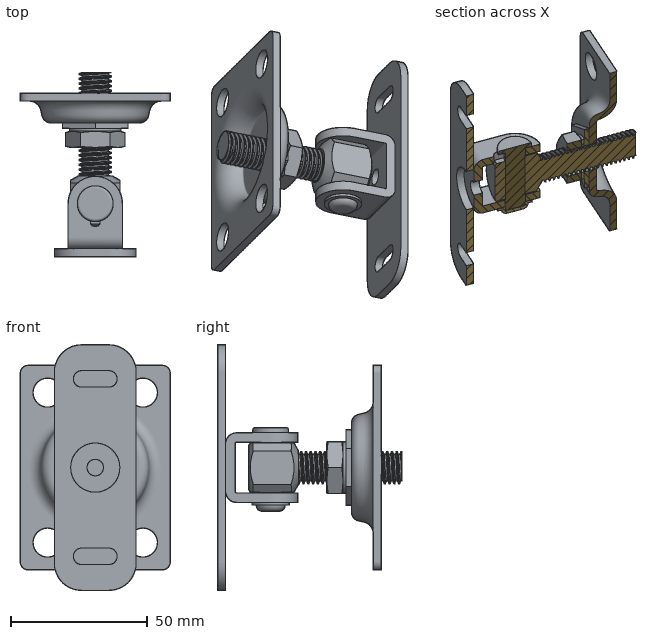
import cadquery as cq
import math


sheet = 3.0
front_plate_width = 30.0
front_plate_height = 90.0
front_plate_corner = 10.0
front_bore_diameter = 18.0
slot_length = 16.0
slot_width = 6.0
slot_offset = 32.5

back_plate_width = 55.0
back_plate_height = 75.0
back_plate_corner = 3.0
mount_hole_diameter = 10.5
mount_hole_x = 17.5
mount_hole_z = 27.45

stud_end_y = 67.5
thread_major_diameter = 12.0
thread_minor_diameter = 9.8
thread_start_y = 27.5
thread_finish_y = 71.3
thread_turns = 25
ridge_root_width = 1.3
ridge_crest_width = 0.4
ridge_embed = 0.2
clearance_diameter = 12.1

dome_base_radius = 24.2
dome_depth = 8.0
dome_root_fillet = 4.3
dome_crown_fillet = 3.5
dome_draft = math.radians(15)

hex_plate_across_flats = 24.0
hex_plate_thickness = 2.0
washer_diameter = 19.0
washer_thickness = 1.0
nut_across_flats = 19.0
nut_thickness = 6.0
nut_face_diameter = 18.2
nut_chamfer_drop = 0.5

fork_sheet = 3.5
fork_width = 20.0
fork_height = 25.6
fork_bend_inside = 0.45
fork_hole_diameter = 6.0
key_slot_width = 3.6
key_slot_bottom_y = 11.1

pin_y = 19.4
pin_diameter = 8.0
pin_head_diameter = 13.1
pin_head_height = 1.9
pin_head_fillet = 0.9
pin_overhang = 1.8
cap_flange_diameter = 13.7
cap_flange_thickness = 1.0
cap_dome_diameter = 10.6
cap_dome_height = 2.25

knuckle_side = 18.2
knuckle_flat = 12.2
knuckle_front_y = 11.3
knuckle_back_y = 29.6
knuckle_front_radius = 8.0
knuckle_back_radius = 6.3
cone_slope = math.tan(math.radians(30))

back_plate_rear_y = 59.9
back_plate_front_y = back_plate_rear_y - sheet
dome_face_y = back_plate_front_y - dome_depth
hex_plate_y = dome_face_y - hex_plate_thickness
washer_y = hex_plate_y - washer_thickness
nut_y = washer_y - nut_thickness
fork_top_z = fork_height / 2
fork_end_y = pin_y + fork_width / 2


def across_y(y):
    """Workplane facing +Y at the given y; its local x is Z and its local y is X."""
    return cq.Workplane("ZX", origin=(0, y, 0))


def above_z(z):
    """Workplane facing +Z at the given z, centred on the pin."""
    return cq.Workplane("XY", origin=(0, pin_y, z))


def rounded_plate(y, width, height, corner):
    return across_y(y).rect(height, width).extrude(sheet).edges("|Y").fillet(corner)


def hexagon(y, across_flats, thickness):
    """Bored hexagonal block with two corners on the Z axis."""
    across_corners = across_flats / math.cos(math.pi / 6)
    return across_y(y).polygon(6, across_corners).circle(clearance_diameter / 2).extrude(thickness)


def make_front_plate():
    plate = rounded_plate(0, front_plate_width, front_plate_height, front_plate_corner)
    bore = across_y(0).circle(front_bore_diameter / 2).extrude(sheet)
    slots = (
        across_y(0)
        .pushPoints([(-slot_offset, 0), (slot_offset, 0)])
        .slot2D(slot_length, slot_width, 90)
        .extrude(sheet)
    )
    return plate.cut(bore).cut(slots)


def dome_profile(face_y, base_y, root_radius, crown_radius):
    """Half section of a drafted dome, solid from the stud axis to its surface."""
    root_centre_y = back_plate_front_y - dome_root_fillet
    crown_centre_y = dome_face_y + dome_crown_fillet
    centre_gap_y = root_centre_y - crown_centre_y
    centre_gap_r = (
        (dome_root_fillet + dome_crown_fillet) - centre_gap_y * math.sin(dome_draft)
    ) / math.cos(dome_draft)
    crown_centre_r = dome_base_radius - centre_gap_r
    middle = (math.pi / 2 + dome_draft) / 2

    def root_point(angle):
        return (
            dome_base_radius - root_radius * math.cos(angle),
            root_centre_y + root_radius * math.sin(angle),
        )

    def crown_point(angle):
        return (
            crown_centre_r + crown_radius * math.cos(angle),
            crown_centre_y - crown_radius * math.sin(angle),
        )

    return (
        cq.Workplane("XY")
        .moveTo(0, base_y)
        .lineTo(dome_base_radius, base_y)
        .threePointArc(root_point(middle), root_point(dome_draft))
        .lineTo(*crown_point(dome_draft))
        .threePointArc(crown_point(middle), (crown_centre_r, face_y))
        .lineTo(0, face_y)
        .close()
    )


def revolve_about_stud(profile):
    return profile.revolve(360, (0, 0, 0), (0, 1, 0))


def make_back_plate():
    plate = rounded_plate(back_plate_front_y, back_plate_width, back_plate_height, back_plate_corner)
    outside = revolve_about_stud(
        dome_profile(dome_face_y, back_plate_front_y, dome_root_fillet, dome_crown_fillet)
    )
    inside = revolve_about_stud(
        dome_profile(
            dome_face_y + sheet, back_plate_rear_y, dome_root_fillet + sheet, dome_crown_fillet - sheet
        )
    )
    mount_holes = (
        across_y(back_plate_front_y)
        .rect(2 * mount_hole_z, 2 * mount_hole_x, forConstruction=True)
        .vertices()
        .circle(mount_hole_diameter / 2)
        .extrude(sheet)
    )
    stud_hole = across_y(dome_face_y).circle(clearance_diameter / 2).extrude(sheet)
    return plate.union(outside).cut(inside).cut(mount_holes).cut(stud_hole)


def make_hex_plate():
    return hexagon(hex_plate_y, hex_plate_across_flats, hex_plate_thickness)


def make_washer():
    return (
        across_y(washer_y)
        .circle(washer_diameter / 2)
        .circle(clearance_diameter / 2)
        .extrude(washer_thickness)
    )


def make_nut():
    """Hexagon nut with corners on the X axis and both ends chamfered to a circle."""
    block = hexagon(nut_y, nut_across_flats, nut_thickness).rotate((0, 0, 0), (0, 1, 0), 90)
    corner_radius = nut_across_flats / 2 / math.cos(math.pi / 6)
    turned = revolve_about_stud(
        cq.Workplane("XY").polyline([
            (0, nut_y),
            (nut_face_diameter / 2, nut_y),
            (corner_radius, nut_y + nut_chamfer_drop),
            (corner_radius, washer_y - nut_chamfer_drop),
            (nut_face_diameter / 2, washer_y),
            (0, washer_y),
        ]).close()
    )
    return block.intersect(turned)


def make_fork():
    """Sheet bent to a U, with round leg ends, a rivet hole in its base and a keyed pin bore."""
    base_y = sheet + fork_sheet
    length = fork_end_y - sheet
    outer = (
        cq.Workplane("XY", origin=(0, sheet + length / 2, 0))
        .box(fork_width, length, fork_height)
        .edges("|X and <Y")
        .fillet(fork_bend_inside + fork_sheet)
    )
    inner = (
        cq.Workplane("XY", origin=(0, base_y + length / 2, 0))
        .box(fork_width, length, fork_height - 2 * fork_sheet)
        .edges("|X and <Y")
        .fillet(fork_bend_inside)
    )
    straight_length = pin_y - sheet
    outline = (
        above_z(-fork_top_z)
        .center(0, -straight_length / 2)
        .rect(fork_width, straight_length)
        .extrude(fork_height)
        .union(above_z(-fork_top_z).circle(fork_width / 2).extrude(fork_height))
    )
    rivet_hole = across_y(sheet).circle(fork_hole_diameter / 2).extrude(fork_sheet)
    pin_bore = above_z(-fork_top_z).circle(pin_diameter / 2).extrude(fork_height)
    slot_reach = pin_y - key_slot_bottom_y
    key_slot = (
        above_z(fork_top_z - fork_sheet)
        .center(0, -slot_reach / 2)
        .slot2D(slot_reach, key_slot_width, 90)
        .extrude(fork_sheet)
    )
    return outer.cut(inner).intersect(outline).cut(rivet_hole).cut(pin_bore).cut(key_slot)


def make_pin():
    shank_bottom_z = -fork_top_z - pin_overhang
    shank = above_z(shank_bottom_z).circle(pin_diameter / 2).extrude(fork_top_z - shank_bottom_z)
    head = (
        above_z(fork_top_z)
        .circle(pin_head_diameter / 2)
        .extrude(pin_head_height)
        .faces(">Z")
        .edges()
        .fillet(pin_head_fillet)
    )
    return shank.union(head)


def make_cap():
    """Flanged cap over the lower end of the pin, its dome rounded down to the flange."""
    flange = above_z(-fork_top_z).circle(cap_flange_diameter / 2).extrude(-cap_flange_thickness)
    dome = (
        above_z(-fork_top_z)
        .circle(cap_dome_diameter / 2)
        .extrude(-cap_flange_thickness - cap_dome_height)
        .faces("<Z")
        .edges()
        .fillet(cap_dome_height)
    )
    bore = above_z(-fork_top_z).circle(pin_diameter / 2).extrude(-pin_overhang)
    return flange.union(dome).cut(bore)


def make_thread():
    """Right-hand ridge around the stud core, cut off level with the stud end."""
    inner_radius = thread_minor_diameter / 2 - ridge_embed
    crest_radius = thread_major_diameter / 2
    height = thread_finish_y - thread_start_y
    helix = cq.Wire.makeHelix(height / thread_turns, height, inner_radius)
    ridge = (
        cq.Workplane("XZ")
        .polyline([
            (inner_radius, -ridge_root_width / 2),
            (crest_radius, -ridge_crest_width / 2),
            (crest_radius, ridge_crest_width / 2),
            (inner_radius, ridge_root_width / 2),
        ])
        .close()
        .sweep(cq.Workplane(helix), isFrenet=True)
        .rotate((0, 0, 0), (1, 0, 0), -90)
        .translate((0, thread_start_y, 0))
    )
    excess_length = thread_finish_y - stud_end_y + ridge_root_width
    beyond_end = across_y(stud_end_y).circle(thread_major_diameter).extrude(excess_length)
    return ridge.cut(beyond_end)


def make_eye_bolt():
    """Bevelled square knuckle, turned to a cone at both ends, with a threaded stud."""
    length = knuckle_back_y - knuckle_front_y
    bevel = (knuckle_side - knuckle_flat) / 2
    block = (
        across_y(knuckle_front_y)
        .rect(knuckle_side, knuckle_side)
        .extrude(length)
        .edges("|Y")
        .chamfer(bevel)
    )
    turned_radius = knuckle_side
    turned = revolve_about_stud(
        cq.Workplane("XY").polyline([
            (0, knuckle_front_y),
            (knuckle_front_radius, knuckle_front_y),
            (turned_radius, knuckle_front_y + (turned_radius - knuckle_front_radius) * cone_slope),
            (turned_radius, knuckle_back_y - (turned_radius - knuckle_back_radius) * cone_slope),
            (knuckle_back_radius, knuckle_back_y),
            (0, knuckle_back_y),
        ]).close()
    )
    pin_bore = above_z(-knuckle_side / 2).circle(pin_diameter / 2).extrude(knuckle_side)
    knuckle = block.intersect(turned).cut(pin_bore)
    core = (
        across_y(knuckle_back_y).circle(thread_minor_diameter / 2).extrude(stud_end_y - knuckle_back_y)
    )
    return knuckle.union(core).union(make_thread())


front_plate = make_front_plate()
fork = make_fork()
pin = make_pin()
cap = make_cap()
eye_bolt = make_eye_bolt()
nut = make_nut()
washer = make_washer()
hex_plate = make_hex_plate()
back_plate = make_back_plate()

result = cq.Compound.makeCompound([
    front_plate.val(),
    fork.val(),
    pin.val(),
    cap.val(),
    eye_bolt.val(),
    nut.val(),
    washer.val(),
    hex_plate.val(),
    back_plate.val(),
])